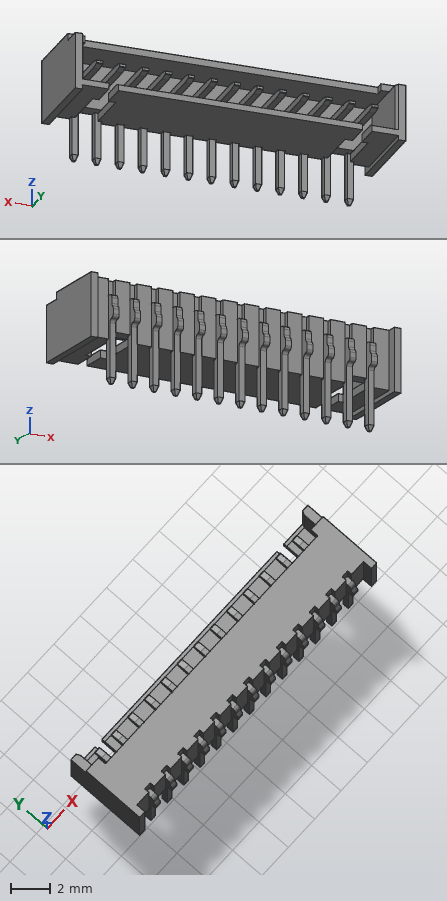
import cadquery as cq
import math


length = 18.0
depth = 4.7
plate_height = 3.47
plate_thickness = 0.4
body_bottom = -3.24
body_front = 0.54

cavity_front = 1.26
side_wall = 0.5
roof_thickness = 0.38
floor_thickness = 0.43
floor_top = body_bottom + floor_thickness
cavity_middle = (floor_top - roof_thickness) / 2
mouth_chamfer = 0.1
mouth_chamfer_depth = 0.22

end_cutback = 1.05
middle_cutback = 1.51
end_step_width = 0.94

pin_count = 13
pin_row = 15.0
pitch = pin_row / (pin_count - 1)
pin_width = 0.35
pin_top = -0.88
blade_thickness = 0.35
leg_front = 0.43
leg_back = 0.81
pin_bottom = -5.6
leg_tip_height = 0.29
leg_shoulder = pin_bottom + leg_tip_height
leg_tip_scale = 0.4

elbow_front = 0.23
elbow_radius = 0.22
nose_front = 0.09
step_out_top = -1.4
step_out_bottom = -1.73
step_in_top = -2.02
step_in_bottom = -2.38

blade_end = depth - 0.43
blade_taper_end = depth - 0.47
blade_taper_start = depth - 0.92
blade_taper_drop = 0.07
blade_nose_drop = 0.1

pin_slot_width = 0.41
latch_slot_width = 0.52
latch_slot_offset = 0.04
pocket_width = pitch
pocket_back = 3.28

pin_positions = [pitch * i - pin_row / 2 for i in range(pin_count)]
latch_position = pin_row / 2 - pitch / 2
latch_slot_position = latch_position + latch_slot_offset


def block(x0, x1, y0, y1, z0, z1):
    """Box between two opposite corners."""
    return cq.Workplane("XY").box(x1 - x0, y1 - y0, z1 - z0, centered=False).translate((x0, y0, z0))


def centred_block(x, width, y0, y1, z0, z1):
    """Box centred on x."""
    return block(x - width / 2, x + width / 2, y0, y1, z0, z1)


def make_shell():
    """Body between two end plates."""
    shell = centred_block(0, length, body_front, depth, body_bottom, 0)
    for side in (-1, 1):
        plate_x = side * (length - plate_thickness) / 2
        shell = shell.union(centred_block(plate_x, plate_thickness, 0, depth, -plate_height, 0))
    return shell


def make_cavity():
    """Mating cavity, flared at its mouth."""
    width = length - 2 * side_wall
    cavity = centred_block(0, width, cavity_front, depth, floor_top, -roof_thickness)
    flare_angle = math.degrees(math.atan2(mouth_chamfer, mouth_chamfer_depth))
    flare = (
        cq.Workplane("XZ", origin=(0, depth, cavity_middle))
        .rect(width + 2 * mouth_chamfer, -roof_thickness - floor_top + 2 * mouth_chamfer)
        .extrude(mouth_chamfer_depth, taper=flare_angle)
    )
    return cavity.union(flare)


def make_roof_cutback():
    """Stepped cut-back of the roof at the mouth."""
    ends = centred_block(0, length, depth - end_cutback, depth, -roof_thickness, 0)
    middle_width = length - 2 * end_step_width
    middle = centred_block(0, middle_width, depth - middle_cutback, depth, -roof_thickness, 0)
    return ends.union(middle)


def make_latch_opening(side):
    """Floor opening: a slot from the mouth that widens towards the front."""
    slot_x = side * latch_slot_position
    pocket_x = side * latch_position
    slot = centred_block(slot_x, latch_slot_width, body_front, depth, body_bottom, floor_top)
    pocket = centred_block(pocket_x, pocket_width, body_front, pocket_back, body_bottom, floor_top)
    return slot.union(pocket)


def make_pin_slot(x):
    """Full-height groove in the front wall behind a pin."""
    return centred_block(x, pin_slot_width, body_front, leg_back, body_bottom, 0)


def make_bend(x):
    """Formed outer part of a pin, from the elbow down to the leg shoulder."""
    elbow_mid = elbow_radius * (1 - math.sqrt(0.5))
    step_out_middle = ((elbow_front + nose_front) / 2, (step_out_top + step_out_bottom) / 2)
    step_in_middle = ((nose_front + leg_front) / 2, (step_in_top + step_in_bottom) / 2)
    return (
        cq.Workplane("YZ", origin=(x - pin_width / 2, 0, 0))
        .moveTo(leg_back, pin_top)
        .lineTo(elbow_front + elbow_radius, pin_top)
        .threePointArc((elbow_front + elbow_mid, pin_top - elbow_mid), (elbow_front, pin_top - elbow_radius))
        .lineTo(elbow_front, step_out_top)
        .tangentArcPoint(step_out_middle, relative=False)
        .tangentArcPoint((nose_front, step_out_bottom), relative=False)
        .lineTo(nose_front, step_in_top)
        .tangentArcPoint(step_in_middle, relative=False)
        .tangentArcPoint((leg_front, step_in_bottom), relative=False)
        .lineTo(leg_front, leg_shoulder)
        .lineTo(leg_back, leg_shoulder)
        .close()
        .extrude(pin_width)
    )


def make_leg_tip(x):
    """Blunt pyramid at the end of a leg."""
    leg_depth = leg_back - leg_front
    return (
        cq.Workplane("XY", origin=(x, (leg_front + leg_back) / 2, leg_shoulder))
        .rect(pin_width, leg_depth)
        .workplane(offset=-leg_tip_height)
        .rect(pin_width * leg_tip_scale, leg_depth * leg_tip_scale)
        .loft()
    )


def make_blade(x):
    """Contact blade along the middle of the cavity, anchored in the front wall."""
    half = blade_thickness / 2
    taper_half = half - blade_taper_drop
    nose_half = half - blade_nose_drop
    return (
        cq.Workplane("YZ", origin=(x - pin_width / 2, 0, cavity_middle))
        .moveTo(leg_back, half)
        .lineTo(blade_taper_start, half)
        .lineTo(blade_taper_end, taper_half)
        .lineTo(blade_end, nose_half)
        .lineTo(blade_end, -nose_half)
        .lineTo(blade_taper_end, -taper_half)
        .lineTo(blade_taper_start, -half)
        .lineTo(leg_back, -half)
        .close()
        .extrude(pin_width)
    )


result = make_shell().cut(make_cavity()).cut(make_roof_cutback())

for side in (-1, 1):
    result = result.cut(make_latch_opening(side))

for position in pin_positions:
    result = result.cut(make_pin_slot(position))

for position in pin_positions:
    result = result.union(make_bend(position))
    result = result.union(make_leg_tip(position))
    result = result.union(make_blade(position))